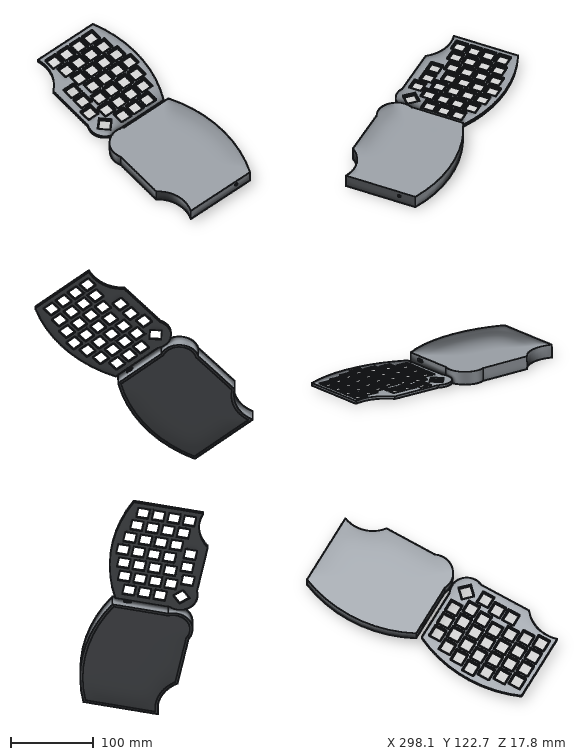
import cadquery as cq
import math


KEY_PITCH = 19.05
FIRST_KEY_X = 14.1
COLUMN_BOTTOM_Y = [34.9, 38.5, 43.3, 48.1, 43.3, 38.5, 48.1]
COLUMN_KEY_COUNT = [4, 4, 4, 4, 4, 4, 3]
FIRST_THUMB_KEY_X = 62.4
THUMB_KEYS_Y = [24.2, 24.2, 19.5]
TURNED_KEY = (125.5, 22.5)
TURNED_KEY_ANGLE = 45

SWITCH_HOLE = 14.0
SWITCH_RECESS = 16.0
RECESS_DEPTH = 2.0

PLATE_RIGHT = 142.6
PLATE_FRONT = 5.5
TOP_LEFT_Y = 106.3
TOP_RIGHT_Y = 100.6
TOP_ARC_MIDDLE = (66.0, 119.48)
LOWER_LEFT_Y = 20.6
PALM_ARC_MIDDLE = (12.5, 22.5)
PALM_ARC_END_X = 47.8
THUMB_CENTER = (124.0, 24.0)
THUMB_RADIUS = 20.8
PLATE_THICKNESS = 3.5
PLATE_Z = 4.95

WALL = 3.2
CASE_THICKNESS = 16.5
CASE_ROOF = 3.0
CASE_TILT = 0.5
LID_THICKNESS = 3.0
PLATE_TO_CASE_GAP = 2.13

SLOT_WIDTH = 9.0
SLOT_HEIGHT = 3.6
SLOT_Y = 84.2
OPENING_Z = 11.1
HOLE_DIAMETER = SLOT_HEIGHT
HOLE_Y = SLOT_Y + (SLOT_WIDTH - SLOT_HEIGHT) / 2

PLATE_WIDTH = THUMB_CENTER[0] + THUMB_RADIUS
CASE_WIDTH = PLATE_WIDTH + 2 * WALL
CASE_LEFT = PLATE_WIDTH + PLATE_TO_CASE_GAP
CASE_MIDDLE_X = CASE_LEFT + CASE_WIDTH / 2


def plate_outline():
    """Closed outline of the plate, with the round thumb corner at the right front."""
    center_x, center_y = THUMB_CENTER
    rise = math.sqrt(THUMB_RADIUS**2 - (PLATE_RIGHT - center_x) ** 2)
    run = math.sqrt(THUMB_RADIUS**2 - (center_y - PLATE_FRONT) ** 2)
    diagonal = THUMB_RADIUS * math.sqrt(0.5)
    return (
        cq.Workplane("XY")
        .moveTo(0, LOWER_LEFT_Y)
        .lineTo(0, TOP_LEFT_Y)
        .threePointArc(TOP_ARC_MIDDLE, (PLATE_RIGHT, TOP_RIGHT_Y))
        .lineTo(PLATE_RIGHT, center_y + rise)
        .threePointArc((center_x + diagonal, center_y - diagonal), (center_x - run, PLATE_FRONT))
        .lineTo(PALM_ARC_END_X, PLATE_FRONT)
        .threePointArc(PALM_ARC_MIDDLE, (0, LOWER_LEFT_Y))
        .close()
    )


def switch_cutter():
    """Square hole through the plate with a wider recess at its top."""
    through = cq.Workplane("XY").rect(SWITCH_HOLE, SWITCH_HOLE).extrude(PLATE_THICKNESS)
    recess = (
        cq.Workplane("XY", origin=(0, 0, PLATE_THICKNESS - RECESS_DEPTH))
        .rect(SWITCH_RECESS, SWITCH_RECESS)
        .extrude(RECESS_DEPTH)
    )
    return through.union(recess)


def key_positions():
    """Centres of the straight keys: staggered columns, then the thumb row."""
    positions = []
    for column, (bottom_y, count) in enumerate(zip(COLUMN_BOTTOM_Y, COLUMN_KEY_COUNT)):
        x = FIRST_KEY_X + column * KEY_PITCH
        for row in range(count):
            positions.append((x, bottom_y + row * KEY_PITCH))
    for index, y in enumerate(THUMB_KEYS_Y):
        positions.append((FIRST_THUMB_KEY_X + index * KEY_PITCH, y))
    return positions


def make_plate():
    body = plate_outline().extrude(PLATE_THICKNESS)
    cutter = switch_cutter()
    for x, y in key_positions():
        body = body.cut(cutter.translate((x, y, 0)))
    turned_cutter = cutter.rotate((0, 0, 0), (0, 0, 1), TURNED_KEY_ANGLE)
    body = body.cut(turned_cutter.translate((*TURNED_KEY, 0)))
    return body.translate((0, 0, PLATE_Z))


def place_at_case(body):
    """Mirror a plate-shaped body left to right, tilt it and move it to the case's place."""
    mirrored = body.mirror("YZ").translate((CASE_WIDTH - WALL, 0, 0))
    tilted = mirrored.rotate((0, 0, 0), (0, 1, 0), -CASE_TILT)
    return tilted.translate((CASE_LEFT, 0, 0))


def cable_slot():
    """Slot through the left wall, reaching into the cavity."""
    return (
        cq.Workplane("YZ", origin=(CASE_MIDDLE_X, SLOT_Y, OPENING_Z))
        .slot2D(SLOT_WIDTH, SLOT_HEIGHT)
        .extrude(-CASE_WIDTH)
    )


def side_hole():
    """Round hole through the right wall, in line with the rear end of the slot."""
    return (
        cq.Workplane("YZ", origin=(CASE_MIDDLE_X, HOLE_Y, OPENING_Z))
        .circle(HOLE_DIAMETER / 2)
        .extrude(CASE_WIDTH)
    )


def make_case():
    """Tray open at the bottom, with an opening in each side wall."""
    shell = plate_outline().offset2D(WALL, "intersection").extrude(CASE_THICKNESS)
    cavity = plate_outline().extrude(CASE_THICKNESS - CASE_ROOF)
    body = place_at_case(shell.cut(cavity))
    return body.cut(cable_slot()).cut(side_hole())


def make_lid():
    """Flat lid that fills the mouth of the case, flush with its lower edge."""
    return place_at_case(plate_outline().extrude(LID_THICKNESS))


plate = make_plate().solids()
case = make_case().solids()
lid = make_lid().solids()
result = cq.Compound.makeCompound([plate.val(), case.val(), lid.val()])